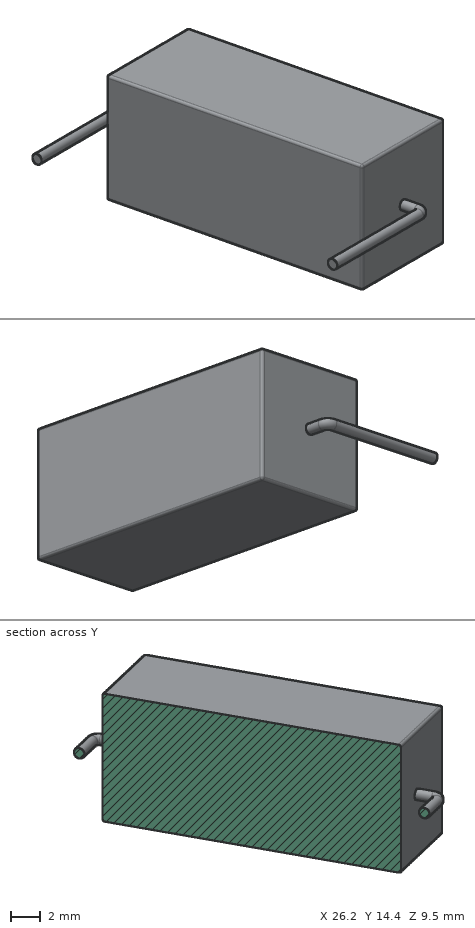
import cadquery as cq

body_length = 22.0
body_depth = 9.0
body_height = 9.5
edge_radius = 0.2

lead_diameter = 0.8
lead_pitch = 25.4
bend_radius = 0.48
lead_tip_y = -9.94
lead_embed = 1.0


def make_body():
    block = cq.Workplane("XY").box(body_length, body_depth, body_height)
    return block.edges().fillet(edge_radius)


def make_lead(side):
    """Bent lead on one end face; side is -1 for -X or +1 for +X."""
    root_x = side * (body_length / 2 - lead_embed)
    lead_x = side * lead_pitch / 2
    bend_start_x = lead_x - side * bend_radius
    centreline = (
        cq.Workplane("XY")
        .moveTo(root_x, 0)
        .lineTo(bend_start_x, 0)
        .tangentArcPoint((lead_x, -bend_radius), relative=False)
        .lineTo(lead_x, lead_tip_y)
    )
    wire_section = cq.Workplane("YZ", origin=(root_x, 0, 0)).circle(lead_diameter / 2)
    return wire_section.sweep(centreline)


result = make_body()
for end_side in (-1, 1):
    result = result.union(make_lead(end_side))